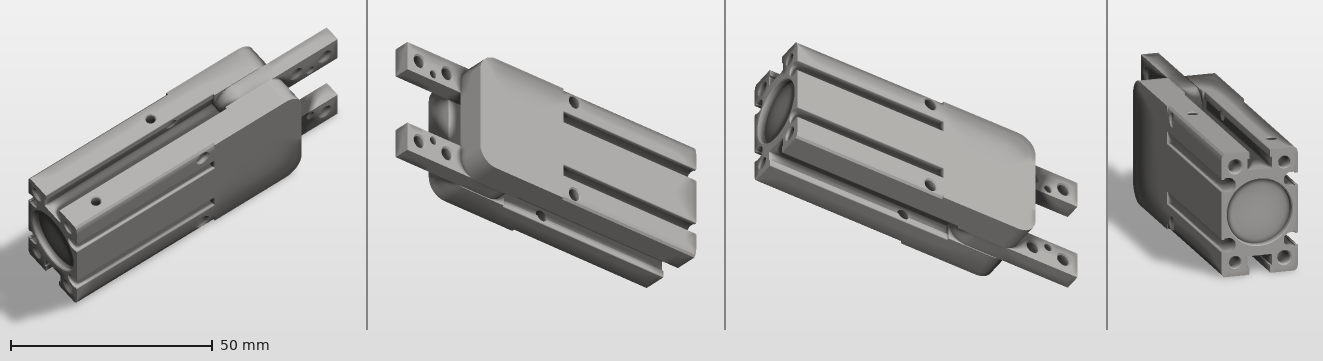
import cadquery as cq
import math

WIDTH = 20.0
HEIGHT = 32.0
HOUSING_LENGTH = 69.6
END_ROUND = 5.0

REAR_LENGTH = 42.7
CORNER_CHAMFER = 0.5
CORNER_INSET = 0.3
CORNER_CURVE_HEIGHT = 1.5

GROOVE_Z = 7.8
GROOVE_MOUTH = 3.0
GROOVE_WIDTH = 3.7
GROOVE_LIP = 0.8
GROOVE_DEPTH = 3.7
GROOVE_MOUTH_ROUND = 0.3

T_SLOT_LENGTH = 51.85
T_SLOT_MOUTH = 5.5
T_SLOT_WIDTH = 6.5
T_SLOT_LIP = 1.9
T_SLOT_DEPTH = 4.85
T_SLOT_MOUTH_ROUND = 0.3
T_SLOT_FLOOR_ROUND = 0.35

BORE_DIAMETER = 17.0
BORE_DEPTH = 2.0
BORE_CHAMFER = 0.3

DRILL_POINT_ANGLE = 118
BOLT_DIAMETER = 3.2
BOLT_CHAMFER = 0.39
CROSS_HOLE_Y = 39.1
CROSS_HOLE_Z = 13.5
END_HOLE_X = 6.4
END_HOLE_Z = 12.4
END_HOLE_DEPTH = 6.1
SMALL_END_DIAMETER = 3.0
SMALL_END_CHAMFER = 0.2
PORT_DIAMETER = 2.4
PORT_CHAMFER = 0.3
PORT_DEPTH = 4.3
PORT_X = 6.0
FRONT_PORT_Y = 34.85
REAR_PORT_Y = 8.9

TOTAL_LENGTH = 86.7
FINGER_WIDTH = 4.5
FINGER_INNER_Z = 7.8
FINGER_OUTER_Z = 15.8
FINGER_ROUND = 5.1
FINGER_HOLE_Y = (73.8, 82.7)
FINGER_HOLE_Z = 11.7
DOWEL_DIAMETER = 2.0
DOWEL_CHAMFER = 0.22
DOWEL_Y = 78.2
DOWEL_Z = 9.7

SIDES = (-1, 1)
SELECT_REACH = 0.04


def box(x_range, y_range, z_range):
    """Box from its (start, end) pairs along X, Y and Z."""
    size = [end - start for start, end in (x_range, y_range, z_range)]
    corner = cq.Vector(x_range[0], y_range[0], z_range[0])
    return cq.Workplane(cq.Solid.makeBox(*size, corner))


def hole_end(diameter, chamfer, mouth, inward):
    """Cone that countersinks a hole mouth."""
    radius = diameter / 2
    return cq.Workplane(cq.Solid.makeCone(radius + chamfer, radius, chamfer, mouth, inward))


def blind_hole(diameter, chamfer, depth, mouth, inward):
    """Countersunk drilled hole with a conical bottom."""
    radius = diameter / 2
    point_height = radius / math.tan(math.radians(DRILL_POINT_ANGLE / 2))
    shank = cq.Workplane(cq.Solid.makeCylinder(radius, depth, mouth, inward))
    point = cq.Workplane(cq.Solid.makeCone(radius, 0, point_height, mouth + inward * depth, inward))
    return shank.union(point).union(hole_end(diameter, chamfer, mouth, inward))


def through_hole(diameter, chamfer, width, y, z):
    """Hole along X through a width centred on X = 0, countersunk on both sides."""
    start = cq.Vector(-width / 2, y, z)
    along = cq.Vector(1, 0, 0)
    hole = cq.Workplane(cq.Solid.makeCylinder(diameter / 2, width, start, along))
    hole = hole.union(hole_end(diameter, chamfer, start, along))
    return hole.union(hole_end(diameter, chamfer, start + along * width, along * -1))


def edge_at(x, y, z):
    """Selector for the edge whose middle lies at a point."""
    return cq.selectors.BoxSelector(
        (x - SELECT_REACH, y - SELECT_REACH, z - SELECT_REACH),
        (x + SELECT_REACH, y + SELECT_REACH, z + SELECT_REACH),
    )


def rear_profile():
    """Sketch plane on the rear face; extruding by a negative length runs toward +Y."""
    return cq.Workplane("XZ")


def corner_relief(x_side, z_side):
    """Edge relief: a short chamfer running into a shallow curve tangent to the side."""
    side_x = WIDTH / 2
    top_z = HEIGHT / 2
    curve_radius = (CORNER_INSET**2 + CORNER_CURVE_HEIGHT**2) / (2 * CORNER_INSET)
    half_angle = math.atan(CORNER_INSET / CORNER_CURVE_HEIGHT)
    curve_end_z = top_z - CORNER_CHAMFER - CORNER_CURVE_HEIGHT
    middle_x = side_x - curve_radius * (1 - math.cos(half_angle))
    middle_z = curve_end_z + curve_radius * math.sin(half_angle)
    inset_x = side_x - CORNER_INSET
    return (
        rear_profile()
        .moveTo(x_side * side_x, z_side * top_z)
        .lineTo(x_side * (inset_x - CORNER_CHAMFER), z_side * top_z)
        .lineTo(x_side * inset_x, z_side * (top_z - CORNER_CHAMFER))
        .threePointArc((x_side * middle_x, z_side * middle_z), (x_side * side_x, z_side * curve_end_z))
        .close()
        .extrude(-REAR_LENGTH)
    )


def side_groove(x_side, z_side):
    """Round-bottomed groove with a narrower mouth in a side face."""
    face_x = x_side * WIDTH / 2
    lip_x = x_side * (WIDTH / 2 - GROOVE_LIP)
    bottom_x = x_side * (WIDTH / 2 - GROOVE_DEPTH)
    center_x = x_side * (WIDTH / 2 - GROOVE_DEPTH + GROOVE_WIDTH / 2)
    z = z_side * GROOVE_Z
    half_mouth = GROOVE_MOUTH / 2
    half_width = GROOVE_WIDTH / 2
    return (
        rear_profile()
        .moveTo(face_x, z - half_mouth)
        .lineTo(lip_x, z - half_mouth)
        .lineTo(lip_x, z - half_width)
        .lineTo(center_x, z - half_width)
        .threePointArc((bottom_x, z), (center_x, z + half_width))
        .lineTo(lip_x, z + half_width)
        .lineTo(lip_x, z + half_mouth)
        .lineTo(face_x, z + half_mouth)
        .close()
        .extrude(-REAR_LENGTH)
    )


def t_slot():
    """T-slot in the top face, running forward from the rear face."""
    top_z = HEIGHT / 2
    floor_z = top_z - T_SLOT_DEPTH
    channel_top_z = top_z - T_SLOT_LIP
    mouth = box((-T_SLOT_MOUTH / 2, T_SLOT_MOUTH / 2), (0, T_SLOT_LENGTH), (channel_top_z, top_z))
    channel = box((-T_SLOT_WIDTH / 2, T_SLOT_WIDTH / 2), (0, T_SLOT_LENGTH), (floor_z, channel_top_z))
    channel = channel.faces("<Z").edges("|Y").fillet(T_SLOT_FLOOR_ROUND)
    return mouth.union(channel)


def finger_slot():
    """Slot over the full height at the front end, holding both fingers."""
    return box(
        (-FINGER_WIDTH / 2, FINGER_WIDTH / 2),
        (T_SLOT_LENGTH, HOUSING_LENGTH),
        (-HEIGHT / 2, HEIGHT / 2),
    )


def end_holes():
    """Four blind holes in the rear face: large and small ones on opposite diagonals."""
    holes = cq.Workplane()
    for x_side in SIDES:
        for z_side in SIDES:
            mouth = cq.Vector(x_side * END_HOLE_X, 0, z_side * END_HOLE_Z)
            if x_side == z_side:
                diameter, chamfer = SMALL_END_DIAMETER, SMALL_END_CHAMFER
            else:
                diameter, chamfer = BOLT_DIAMETER, BOLT_CHAMFER
            holes = holes.add(blind_hole(diameter, chamfer, END_HOLE_DEPTH, mouth, cq.Vector(0, 1, 0)))
    return holes.combine()


def ports():
    """Two ports in the top face, one on each side of the T-slot."""
    holes = cq.Workplane()
    for x, y in ((-PORT_X, FRONT_PORT_Y), (PORT_X, REAR_PORT_Y)):
        mouth = cq.Vector(x, y, HEIGHT / 2)
        holes = holes.add(blind_hole(PORT_DIAMETER, PORT_CHAMFER, PORT_DEPTH, mouth, cq.Vector(0, 0, -1)))
    return holes.combine()


def rear_bore():
    """Shallow round recess with a chamfered rim in the rear face."""
    start = cq.Vector(0, 0, 0)
    forward = cq.Vector(0, 1, 0)
    recess = cq.Workplane(cq.Solid.makeCylinder(BORE_DIAMETER / 2, BORE_DEPTH, start, forward))
    return recess.union(hole_end(BORE_DIAMETER, BORE_CHAMFER, start, forward))


def round_groove_mouths(body):
    """Round the lips of the side grooves where they meet the side faces."""
    lips = cq.Workplane()
    for x_side in SIDES:
        for z_side in SIDES:
            for edge_side in SIDES:
                z = z_side * GROOVE_Z + edge_side * GROOVE_MOUTH / 2
                lips = lips.add(body.edges(edge_at(x_side * WIDTH / 2, REAR_LENGTH / 2, z)))
    return body.newObject(lips.vals()).fillet(GROOVE_MOUTH_ROUND)


def round_slot_mouths(body):
    """Round the lips of the T-slots where they meet the top and bottom faces."""
    lips = cq.Workplane()
    for x_side in SIDES:
        for z_side in SIDES:
            lips = lips.add(
                body.edges(edge_at(x_side * T_SLOT_MOUTH / 2, T_SLOT_LENGTH / 2, z_side * HEIGHT / 2))
            )
    return body.newObject(lips.vals()).fillet(T_SLOT_MOUTH_ROUND)


def make_housing():
    body = box((-WIDTH / 2, WIDTH / 2), (0, HOUSING_LENGTH), (-HEIGHT / 2, HEIGHT / 2))
    body = body.faces(">Y").edges("|X").fillet(END_ROUND)
    for x_side in SIDES:
        for z_side in SIDES:
            body = body.cut(corner_relief(x_side, z_side))
            body = body.cut(side_groove(x_side, z_side))
    body = round_groove_mouths(body)

    top_slot = t_slot()
    body = body.cut(top_slot).cut(top_slot.mirror("XY"))
    body = round_slot_mouths(body)

    for z_side in SIDES:
        body = body.cut(through_hole(BOLT_DIAMETER, BOLT_CHAMFER, WIDTH, CROSS_HOLE_Y, z_side * CROSS_HOLE_Z))
    return body.cut(finger_slot()).cut(rear_bore()).cut(end_holes()).cut(ports())


def make_finger(z_side):
    """Flat finger with its outer rear edge rounded; z_side is 1 for upper, -1 for lower."""
    finger = box(
        (-FINGER_WIDTH / 2, FINGER_WIDTH / 2),
        (T_SLOT_LENGTH, TOTAL_LENGTH),
        (FINGER_INNER_Z, FINGER_OUTER_Z),
    )
    finger = finger.faces(">Z").edges("<Y").fillet(FINGER_ROUND)
    for y in FINGER_HOLE_Y:
        finger = finger.cut(through_hole(BOLT_DIAMETER, BOLT_CHAMFER, FINGER_WIDTH, y, FINGER_HOLE_Z))
    finger = finger.cut(through_hole(DOWEL_DIAMETER, DOWEL_CHAMFER, FINGER_WIDTH, DOWEL_Y, DOWEL_Z))
    return finger if z_side > 0 else finger.mirror("XY")


housing = make_housing()
fingers = [make_finger(z_side) for z_side in SIDES]

result = cq.Compound.makeCompound([housing.solids().val(), *[finger.solids().val() for finger in fingers]])